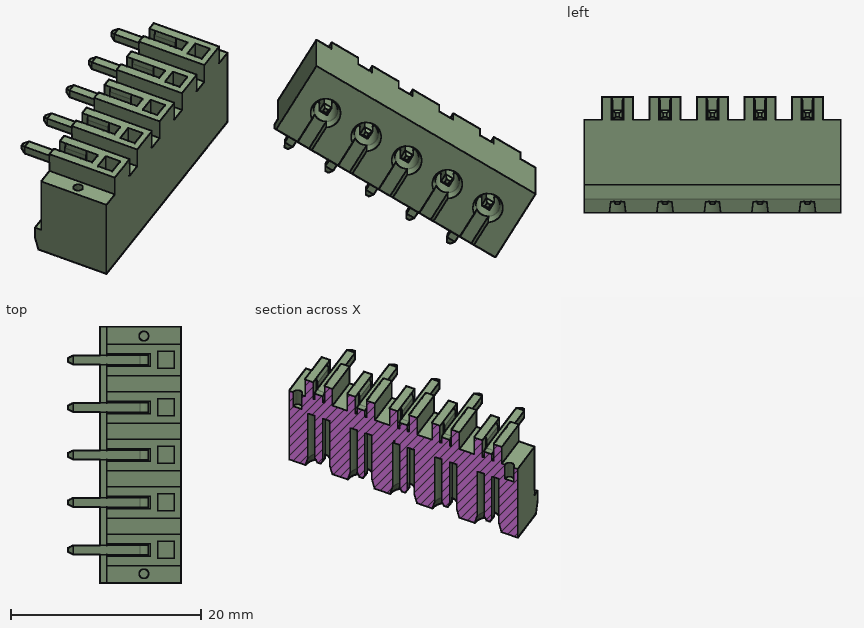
import cadquery as cq
import math


length = 27.0
body_depth = 7.8
shoulder_height = 9.83
height = 12.2

lip_reach = 0.73
lip_height = 2.95
lip_slope_height = 1.48
lip_slope_angle = 15.0
lip_slope_run = lip_slope_height * math.tan(math.radians(lip_slope_angle))

pole_count = 5
pitch = 5.0
pole_positions = [(i - (pole_count - 1) / 2) * pitch for i in range(pole_count)]
rib_width = 3.3
rib_height = height - shoulder_height

pin_size = 0.97
pin_reach = 4.1
pin_taper = 0.55
pin_tip_size = 0.4
pin_axis_x = 3.9
pin_back_x = pin_axis_x + pin_size / 2
pin_top = shoulder_height + pin_size
leg_bottom = 0.92
bend_radius = 0.95

slot_width = 1.3
slot_depth = 4.55
ridge_start = 0.7
ridge_length = 2.5
ridge_ramp_height = 0.5

pocket_start = 5.37
pocket_length = 1.73
pocket_width = 1.78
pocket_depth = rib_height

socket_diameter = 2.5
socket_top = shoulder_height - rib_height
mouth_height = 1.2
mouth_half_angle = 15.0
mouth_diameter = socket_diameter + 2 * mouth_height * math.tan(math.radians(mouth_half_angle))

notch_top_width = 1.43
notch_bottom_width = 1.73

end_hole_diameter = 1.0
end_hole_depth = 2.0
end_hole_inset = 1.0


def box(x_start, x_end, y_center, y_width, z_start, z_end):
    """Box given by its X range, its centre and width in Y, and its Z range."""
    size = (x_end - x_start, y_width, z_end - z_start)
    return cq.Workplane("XY").box(*size, centered=(False, True, False)).translate((x_start, y_center, z_start))


def make_housing():
    profile = [
        (-lip_reach + lip_slope_run, 0),
        (body_depth, 0),
        (body_depth, shoulder_height),
        (0, shoulder_height),
        (0, lip_height),
        (-lip_reach, lip_height),
        (-lip_reach, lip_slope_height),
    ]
    return cq.Workplane("XZ").polyline(profile).close().extrude(length / 2, both=True)


def make_rib(y):
    rib = box(0, body_depth, y, rib_width, shoulder_height, height)
    slot = box(0, slot_depth, y, slot_width, shoulder_height, height)
    pocket_end = pocket_start + pocket_length
    pocket = box(pocket_start, pocket_end, y, pocket_width, height - pocket_depth, height)
    return rib.cut(slot).cut(pocket)


def make_ridge(y, side):
    """Snap ridge on one slot wall, ramped at the top and reaching the flank of the pin."""
    wall = y + side * slot_width / 2
    crest = y + side * pin_size / 2
    profile = [
        (wall, shoulder_height),
        (crest, shoulder_height),
        (crest, height - ridge_ramp_height),
        (wall, height),
    ]
    return cq.Workplane("YZ", origin=(ridge_start, 0, 0)).polyline(profile).close().extrude(ridge_length)


def make_socket(y):
    """Round socket with a conical mouth, and the notch that opens it to the front."""
    half_profile = [
        (0, 0),
        (mouth_diameter / 2, 0),
        (socket_diameter / 2, mouth_height),
        (socket_diameter / 2, socket_top),
        (0, socket_top),
    ]
    bore = cq.Workplane("XZ").polyline(half_profile).close().revolve(360, (0, 0), (0, 1))
    bore = bore.translate((pin_axis_x, y, 0))
    notch_profile = [
        (y - notch_bottom_width / 2, 0),
        (y + notch_bottom_width / 2, 0),
        (y + notch_top_width / 2, mouth_height),
        (y - notch_top_width / 2, mouth_height),
    ]
    notch = cq.Workplane("YZ", origin=(-lip_reach, 0, 0)).polyline(notch_profile).close()
    return bore.union(notch.extrude(lip_reach + pin_axis_x))


def make_pin_tip(plane):
    """Truncated pyramid that tapers along the normal of the plane."""
    tip = cq.Workplane(plane).rect(pin_size, pin_size)
    return tip.workplane(offset=pin_taper).rect(pin_tip_size, pin_tip_size).loft(ruled=True)


def make_pin(y):
    arm_start = -pin_reach + pin_taper
    leg_end = leg_bottom + pin_taper
    arm = box(arm_start, pin_back_x, y, pin_size, shoulder_height, pin_top)
    leg = box(pin_back_x - pin_size, pin_back_x, y, pin_size, leg_end, pin_top)
    bar = arm.union(leg).edges("|Y and >X and >Z").fillet(bend_radius)
    arm_plane = cq.Plane((arm_start, y, shoulder_height + pin_size / 2), (0, 1, 0), (-1, 0, 0))
    leg_plane = cq.Plane((pin_axis_x, y, leg_end), (1, 0, 0), (0, 0, -1))
    return bar.union(make_pin_tip(arm_plane)).union(make_pin_tip(leg_plane))


def make_end_holes():
    hole_y = length / 2 - end_hole_inset
    holes = cq.Workplane("XY", origin=(0, 0, shoulder_height))
    holes = holes.pushPoints([(pin_axis_x, -hole_y), (pin_axis_x, hole_y)])
    return holes.circle(end_hole_diameter / 2).extrude(-end_hole_depth)


result = make_housing().cut(make_end_holes())
for pole_y in pole_positions:
    result = result.union(make_rib(pole_y)).cut(make_socket(pole_y)).union(make_pin(pole_y))
    for wall_side in (-1, 1):
        result = result.union(make_ridge(pole_y, wall_side))